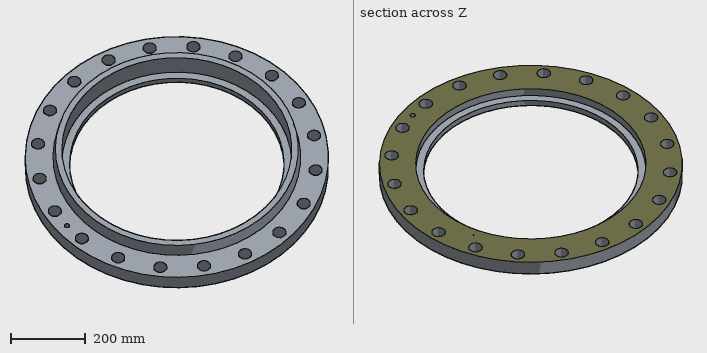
import cadquery as cq
import math

flange_diameter = 812.5
flange_thickness = 46.0

total_height = 81.0
hub_base_diameter = 664.0
hub_top_diameter = 651.0

bore_diameter = 574.5
counterbore_diameter = 616.0
ledge_height = 18.0

bolt_count = 20
bolt_circle_radius = 375.0
bolt_hole_diameter = 35.0

port_diameter = 13.0
port_depth = 23.5
port_point_angle = 118.0

bolt_pitch = 360.0 / bolt_count
port_angle = -90.0 + bolt_pitch / 2


def make_ring_body():
    """Revolve the half section of the flange, hub and stepped bore."""
    half_section = [
        (bore_diameter / 2, 0),
        (flange_diameter / 2, 0),
        (flange_diameter / 2, flange_thickness),
        (hub_base_diameter / 2, flange_thickness),
        (hub_top_diameter / 2, total_height),
        (counterbore_diameter / 2, total_height),
        (counterbore_diameter / 2, ledge_height),
        (bore_diameter / 2, ledge_height),
    ]
    return cq.Workplane("XZ").polyline(half_section).close().revolve(360, (0, 0), (0, 1))


def make_bolt_holes():
    """Cylinders that pierce the flange around the bolt circle."""
    return (
        cq.Workplane("XY")
        .polarArray(bolt_circle_radius, 0, 360, bolt_count)
        .circle(bolt_hole_diameter / 2)
        .extrude(flange_thickness)
    )


def make_port():
    """Drilled hole with a conical end, sunk from the top face of the flange."""
    radius = port_diameter / 2
    point_height = radius / math.tan(math.radians(port_point_angle / 2))
    half_section = [
        (0, flange_thickness),
        (radius, flange_thickness),
        (radius, flange_thickness - port_depth),
        (0, flange_thickness - port_depth - point_height),
    ]
    port = cq.Workplane("XZ").polyline(half_section).close().revolve(360, (0, 0), (0, 1))
    return port.translate((bolt_circle_radius, 0, 0)).rotate((0, 0, 0), (0, 0, 1), port_angle)


result = make_ring_body().cut(make_bolt_holes()).cut(make_port())